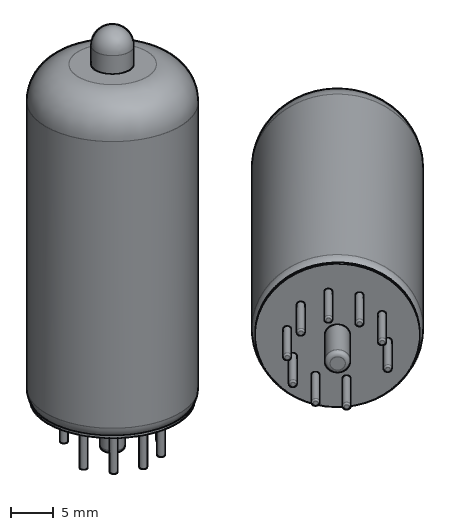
import cadquery as cq
import math

total_height = 55.65
base_z = 6.5
shoulder_z = 50.7

envelope_radius = 20.0 / 2
shoulder_fillet = 4.9
lower_fillet = 2.0

base_radius = 19.2 / 2
lower_fillet_z = 8.05

tip_radius = 5.0 / 2

post_radius = 3.0 / 2
post_fillet = 0.6
pin_radius = 1.0 / 2
pin_fillet = 0.2
pin_circle_radius = 5.9
pin_positions = 10
pin_overlap = 0.3


def arc_middle(center_r, center_z, radius, angle):
    """Point on a profile arc, with the angle in degrees above the radial direction."""
    a = math.radians(angle)
    return center_r + radius * math.cos(a), center_z + radius * math.sin(a)


def make_body():
    """Revolve the base disc, envelope and domed tip as one profile."""
    shoulder_center_r = envelope_radius - shoulder_fillet
    shoulder_center_z = shoulder_z - shoulder_fillet
    lower_center_r = envelope_radius - lower_fillet
    rim_angle = -math.degrees(math.acos((base_radius - lower_center_r) / lower_fillet))
    rim_z = lower_fillet_z + lower_fillet * math.sin(math.radians(rim_angle))
    tip_center_z = total_height - tip_radius
    profile = (
        cq.Workplane("XZ")
        .moveTo(0, base_z)
        .lineTo(base_radius, base_z)
        .lineTo(base_radius, rim_z)
        .threePointArc(
            arc_middle(lower_center_r, lower_fillet_z, lower_fillet, rim_angle / 2),
            (envelope_radius, lower_fillet_z),
        )
        .lineTo(envelope_radius, shoulder_center_z)
        .threePointArc(
            arc_middle(shoulder_center_r, shoulder_center_z, shoulder_fillet, 45),
            (shoulder_center_r, shoulder_z),
        )
        .lineTo(tip_radius, shoulder_z)
        .lineTo(tip_radius, tip_center_z)
        .threePointArc(arc_middle(0, tip_center_z, tip_radius, 45), (0, total_height))
        .close()
    )
    return profile.revolve(360, (0, 0, 0), (0, 1, 0))


def make_rod(radius, end_fillet):
    """Vertical rod below the base with a rounded lower end."""
    rod = cq.Workplane("XY").circle(radius).extrude(base_z + pin_overlap)
    return rod.faces("<Z").edges().fillet(end_fillet)


result = make_body().union(make_rod(post_radius, post_fillet))

pin = make_rod(pin_radius, pin_fillet)
pin_pitch = 2 * math.pi / pin_positions
for position in range(1, pin_positions):
    angle = -math.pi / 2 + position * pin_pitch
    x = pin_circle_radius * math.cos(angle)
    y = pin_circle_radius * math.sin(angle)
    result = result.union(pin.translate((x, y, 0)))